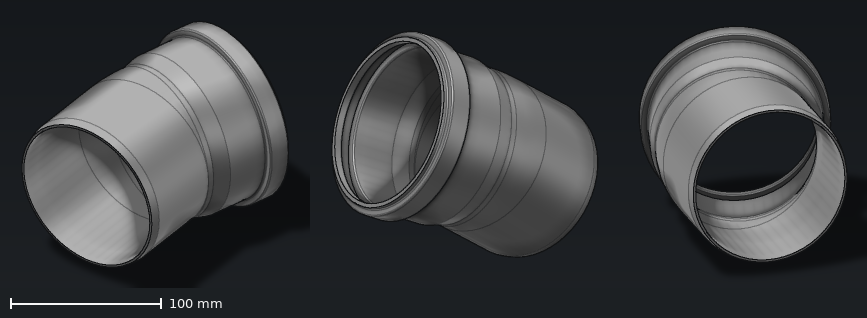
import cadquery as cq


SPIGOT_DIAMETER = 110.2
SPIGOT_BORE_DIAMETER = 103.8
SPIGOT_LENGTH = 61.2
SPIGOT_CHAMFER_LENGTH = 6.3
SPIGOT_CHAMFER_DEPTH = 1.5

BEND_ANGLE = 15.0
PIVOT_CLEARANCE = 0.05

SOCKET_WALL = 2.9
SOCKET_DIAMETER = 116.5
BEAD_DIAMETER = 126.9
LIP_DIAMETER = 116.8

CONE_START = 4.3
CONE_END = 16.2
BEAD_START = 46.4
BEAD_END = 61.8
SOCKET_END = 65.2

BEAD_ROUND = 1.0

spigot_radius = SPIGOT_DIAMETER / 2
spigot_bore_radius = SPIGOT_BORE_DIAMETER / 2
socket_radius = SOCKET_DIAMETER / 2
bead_radius = BEAD_DIAMETER / 2
lip_radius = LIP_DIAMETER / 2
bend_radius = spigot_radius + PIVOT_CLEARANCE


def revolve_about_y(profile):
    """Full revolution about Y of a closed (radius, station) profile."""
    return profile.close().revolve(360, (0, 0, 0), (0, 1, 0))


def bend_section(radius):
    """Disc at the end of the spigot swept round the bend axis, which is parallel to Z."""
    return (
        cq.Workplane("XZ", origin=(0, SPIGOT_LENGTH, 0))
        .circle(radius)
        .revolve(BEND_ANGLE, (bend_radius, 1, 0), (bend_radius, -1, 0))
    )


def place_on_bend(body):
    """Move a body built along +Y from the origin onto the far end of the bend."""
    return (
        body.translate((0, SPIGOT_LENGTH, 0))
        .rotate((bend_radius, SPIGOT_LENGTH, 0), (bend_radius, SPIGOT_LENGTH, 1), -BEND_ANGLE)
    )


def spigot_outside():
    """Chamfered spigot as a solid bar."""
    return revolve_about_y(
        cq.Workplane("XY")
        .moveTo(0, 0)
        .lineTo(spigot_radius - SPIGOT_CHAMFER_DEPTH, 0)
        .lineTo(spigot_radius, SPIGOT_CHAMFER_LENGTH)
        .lineTo(spigot_radius, SPIGOT_LENGTH)
        .lineTo(0, SPIGOT_LENGTH)
    )


def spigot_bore():
    """Straight bore of the spigot."""
    return cq.Workplane("XZ").circle(spigot_bore_radius).extrude(-SPIGOT_LENGTH)


def socket_outside():
    """Cone, socket, rounded bead and lip as a solid bar starting at the end of the bend."""
    return revolve_about_y(
        cq.Workplane("XY")
        .moveTo(0, 0)
        .lineTo(spigot_radius, 0)
        .lineTo(spigot_radius, CONE_START)
        .lineTo(socket_radius, CONE_END)
        .lineTo(socket_radius, BEAD_START - BEAD_ROUND)
        .radiusArc((socket_radius + BEAD_ROUND, BEAD_START), BEAD_ROUND)
        .lineTo(bead_radius - BEAD_ROUND, BEAD_START)
        .radiusArc((bead_radius, BEAD_START + BEAD_ROUND), -BEAD_ROUND)
        .lineTo(bead_radius, BEAD_END - BEAD_ROUND)
        .radiusArc((bead_radius - BEAD_ROUND, BEAD_END), -BEAD_ROUND)
        .lineTo(lip_radius + BEAD_ROUND, BEAD_END)
        .radiusArc((lip_radius, BEAD_END + BEAD_ROUND), BEAD_ROUND)
        .lineTo(lip_radius, SOCKET_END)
        .lineTo(0, SOCKET_END)
    )


def socket_inside():
    """Bore of the cone and socket, with the seal groove inside the bead."""
    groove_start = BEAD_START + SOCKET_WALL
    groove_end = BEAD_END - SOCKET_WALL
    socket_bore_radius = socket_radius - SOCKET_WALL
    lip_bore_radius = lip_radius - SOCKET_WALL
    groove_radius = bead_radius - SOCKET_WALL
    return revolve_about_y(
        cq.Workplane("XY")
        .moveTo(0, 0)
        .lineTo(spigot_bore_radius, 0)
        .lineTo(spigot_bore_radius, CONE_START)
        .lineTo(socket_bore_radius, CONE_END)
        .lineTo(socket_bore_radius, groove_start - BEAD_ROUND)
        .radiusArc((socket_bore_radius + BEAD_ROUND, groove_start), BEAD_ROUND)
        .lineTo(groove_radius, groove_start)
        .lineTo(groove_radius, groove_end)
        .lineTo(lip_bore_radius + BEAD_ROUND, groove_end)
        .radiusArc((lip_bore_radius, groove_end + BEAD_ROUND), BEAD_ROUND)
        .lineTo(lip_bore_radius, SOCKET_END)
        .lineTo(0, SOCKET_END)
    )


outside = spigot_outside().union(bend_section(spigot_radius)).union(place_on_bend(socket_outside()))
inside = spigot_bore().union(bend_section(spigot_bore_radius)).union(place_on_bend(socket_inside()))
result = outside.cut(inside)